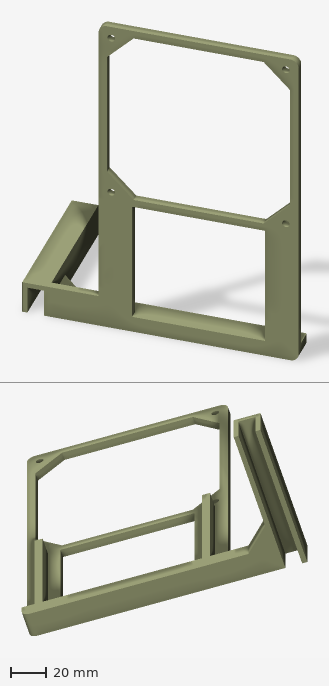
import cadquery as cq

total_width = 166.0
total_depth = 90.0
total_height = 205.0

fan_size = 120.1
plate_thickness = 5.0
corner_radius = 5.0
fan_opening = 110.0
opening_chamfer = 16.0
hole_spacing = 105.0
hole_diameter = 4.5
plate_left = total_width - fan_size
plate_center_x = total_width - fan_size / 2
fan_center_z = total_height - fan_size / 2

window_width = 80.0
window_bottom = 10.0
window_top = 85.0

channel_width = 16.0
channel_height = 20.0
channel_wall = 3.0
channel_slot = 10.0

frame_depth = 15.0
bar_height = window_bottom
rail_spacing = 100.0
rail_width = 5.0
rail_height = window_top
gusset_leg = 14.5


def block(x_start, x_end, y_start, y_end, z_start, z_end):
    """Box between two limits along each axis."""
    size = (x_end - x_start, y_end - y_start, z_end - z_start)
    return cq.Workplane("XY").box(*size, centered=False).translate((x_start, y_start, z_start))


def make_plate():
    panel = block(plate_left, total_width, 0, plate_thickness, 0, total_height)
    panel = panel.edges("|Y and >Z").fillet(corner_radius)
    arm = block(channel_width, plate_left, 0, plate_thickness, 0, channel_height)
    return panel.union(arm)


def make_stiffeners():
    stiffeners = block(channel_width, total_width, plate_thickness, frame_depth, 0, bar_height)
    for side in (-1, 1):
        rail_center = plate_center_x + side * rail_spacing / 2
        rail = block(
            rail_center - rail_width / 2,
            rail_center + rail_width / 2,
            plate_thickness,
            frame_depth,
            0,
            rail_height,
        )
        stiffeners = stiffeners.union(rail)
    gusset = (
        cq.Workplane("XY")
        .moveTo(channel_width, frame_depth)
        .lineTo(channel_width + gusset_leg, frame_depth)
        .lineTo(channel_width, frame_depth + gusset_leg)
        .close()
        .extrude(bar_height)
    )
    return stiffeners.union(gusset)


def make_channel():
    body = block(0, channel_width, 0, total_depth, 0, channel_height)
    slot_right = channel_wall + channel_slot
    slot = block(channel_wall, slot_right, 0, total_depth, 0, channel_height - channel_wall)
    return body.cut(slot)


def make_fan_opening():
    opening = cq.Workplane("XY").box(fan_opening, plate_thickness, fan_opening)
    opening = opening.edges("|Y").chamfer(opening_chamfer)
    return opening.translate((plate_center_x, plate_thickness / 2, fan_center_z))


def make_fan_holes():
    return (
        cq.Workplane("XZ")
        .center(plate_center_x, fan_center_z)
        .rect(hole_spacing, hole_spacing, forConstruction=True)
        .vertices()
        .circle(hole_diameter / 2)
        .extrude(-plate_thickness)
    )


def make_window():
    half_width = window_width / 2
    return block(
        plate_center_x - half_width,
        plate_center_x + half_width,
        0,
        plate_thickness,
        window_bottom,
        window_top,
    )


result = make_plate().cut(make_fan_opening()).cut(make_fan_holes()).cut(make_window())
result = result.union(make_stiffeners()).union(make_channel())

result = result.edges("|Y and >X and <Z").fillet(corner_radius)